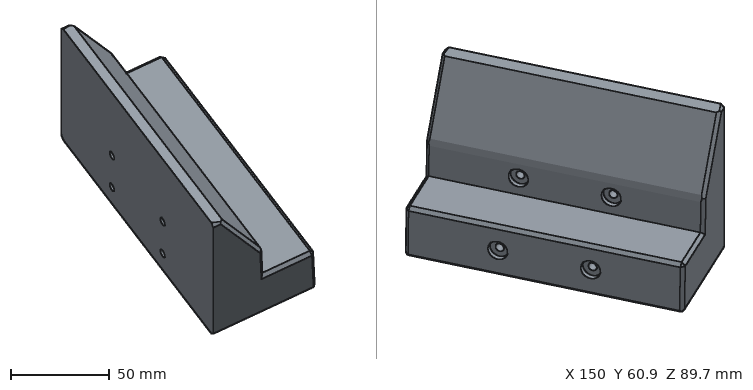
import cadquery as cq
import math

width = 150.0
height = 89.7
depth = 60.9
edge_chamfer = 2.0

tilt = 2.0
ledge_height = 30.0
wall_depth_at_ledge = 30.2
slope_start_height = 50.2
top_depth = 6.3
top_drop = 1.4

hole_diameter = 4.5
hole_spacing_x = 50.0
hole_heights = (13.4, 39.0)
counterbore_diameter = 10.5
counterbore_depth = 3.0

tilt_slope = math.tan(math.radians(tilt))


def lower_wall_depth(z):
    """Y of the rear wall below the ledge; it is deepest just above its bottom chamfer."""
    return depth - (z - edge_chamfer) * tilt_slope


def upper_wall_depth(z):
    """Y of the rear wall above the ledge."""
    return wall_depth_at_ledge - (z - ledge_height) * tilt_slope


def is_rear_side_edge(edge):
    """True for the edges along both sides of the rear walls, the ledge and the slope."""
    middle = edge.Center()
    is_on_side = abs(middle.x) > width / 4
    return is_on_side and middle.y > top_depth and middle.z > edge_chamfer / 2


def is_lower_wall_edge(edge):
    """True for the edges along X at the top and bottom of the lower rear wall."""
    middle = edge.Center()
    is_cross = abs(middle.x) < width / 4
    return is_cross and middle.y > (wall_depth_at_ledge + depth) / 2


def is_block_edge(edge):
    return is_rear_side_edge(edge) or is_lower_wall_edge(edge)


def is_slope_foot(edge):
    """True for the edge along X where the slope meets the upper rear wall."""
    middle = edge.Center()
    is_cross = abs(middle.x) < width / 4
    return is_cross and middle.y > 2 * top_depth and abs(middle.z - slope_start_height) < edge_chamfer


def chamfer_edges(body, is_wanted):
    edges = [edge for edge in body.edges().vals() if is_wanted(edge)]
    return body.newObject(edges).chamfer(edge_chamfer)


def make_body():
    profile = [
        (0, 0),
        (lower_wall_depth(0), 0),
        (lower_wall_depth(ledge_height), ledge_height),
        (wall_depth_at_ledge, ledge_height),
        (upper_wall_depth(slope_start_height), slope_start_height),
        (top_depth, height - top_drop),
        (0, height),
    ]
    body = cq.Workplane("YZ").polyline(profile).close().extrude(width / 2, both=True)

    body = chamfer_edges(body, is_block_edge)
    body = chamfer_edges(body, is_slope_foot)

    outline = (
        cq.Workplane("XZ")
        .center(0, height / 2)
        .rect(width, height)
        .extrude(-2 * depth)
        .edges("|Y")
        .chamfer(edge_chamfer)
    )
    return body.intersect(outline)


def drill_hole(body, x, z, wall_depth):
    """Tilted through hole from the front, counterbored from the rear wall."""
    angle = math.radians(tilt)
    axis = cq.Vector(0, math.cos(angle), math.sin(angle))
    start = cq.Vector(x, 0, z)
    wall_distance = wall_depth(z) * math.cos(angle)
    bore = cq.Solid.makeCylinder(
        hole_diameter / 2, 2 * depth, start - axis * hole_diameter, axis
    )
    counterbore = cq.Solid.makeCylinder(
        counterbore_diameter / 2,
        depth,
        start + axis * (wall_distance - counterbore_depth),
        axis,
    )
    return body.cut(cq.Workplane(bore)).cut(cq.Workplane(counterbore))


result = make_body()
for hole_x in (-hole_spacing_x / 2, hole_spacing_x / 2):
    for hole_z, wall_depth in zip(hole_heights, (lower_wall_depth, upper_wall_depth)):
        result = drill_hole(result, hole_x, hole_z, wall_depth)